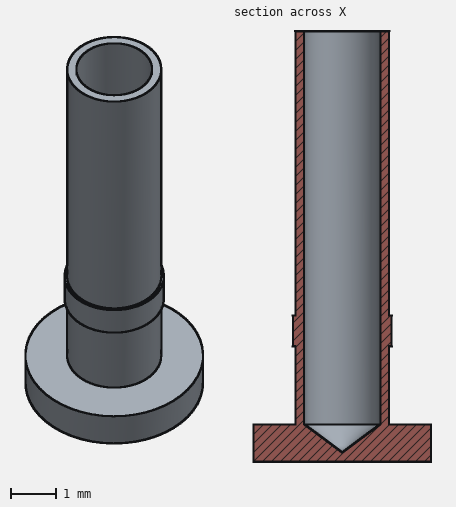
import cadquery as cq
import math

total_height = 9.53
flange_diameter = 3.94
flange_height = 0.83
tube_diameter = 2.09
collar_diameter = 2.2
collar_bottom = 2.55
collar_height = 0.69

bore_diameter = 1.68
drill_point_angle = 107.0
bore_shoulder = flange_height


def cylinder(diameter, bottom, height):
    """Upright cylinder on the Z axis."""
    return cq.Workplane("XY").workplane(offset=bottom).circle(diameter / 2).extrude(height)


def drilled_bore():
    """Straight bore with a conical drill point, as a solid to cut away."""
    radius = bore_diameter / 2
    point_depth = radius / math.tan(math.radians(drill_point_angle / 2))
    profile = [
        (0, bore_shoulder - point_depth),
        (radius, bore_shoulder),
        (radius, total_height),
        (0, total_height),
    ]
    return cq.Workplane("XZ").polyline(profile).close().revolve(360, (0, 0), (0, 1))


flange = cylinder(flange_diameter, 0, flange_height)
tube = cylinder(tube_diameter, 0, total_height)
collar = cylinder(collar_diameter, collar_bottom, collar_height)

result = flange.union(tube).union(collar).cut(drilled_bore())